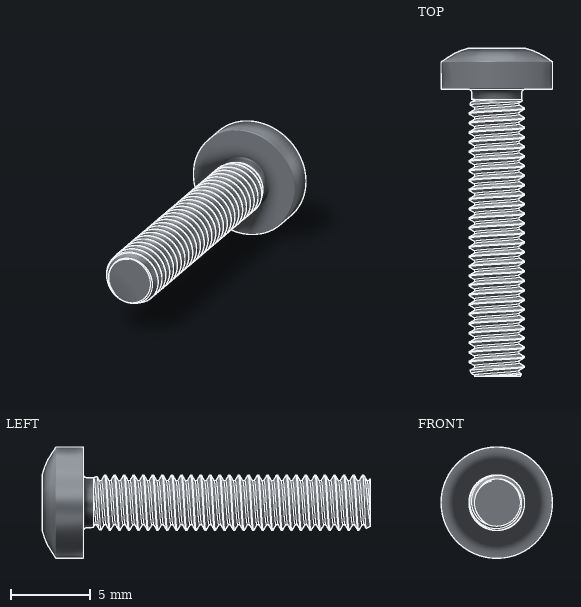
import cadquery as cq
import math

total_length = 20.6
head_diameter = 7.0
head_height = 2.6

crown_flat_diameter = 3.55
crown_height = 0.87
crown_radius = 4.53
rim_fillet = 0.06

neck_diameter = 3.15
neck_length = 0.62
neck_fillet = 0.2

pitch = 0.5999
crest_diameter = 3.5
root_diameter = 2.8
crest_width = 0.06
flank_angle = 30.0
first_crest = 0.9
root_overlap = 0.05

envelope_clearance = 0.05
runout_length = 0.65
tip_chamfer_length = 0.54
tip_diameter = 2.97

head_radius = head_diameter / 2
neck_radius = neck_diameter / 2
crest_radius = crest_diameter / 2
root_radius = root_diameter / 2
shank_length = total_length - head_height
neck_end = -neck_length
tip_end = -shank_length


def turned(outline):
    """Close an outline drawn as (radius, Y) from the axis and turn it about Y."""
    return outline.close().revolve(360, (0, 0, 0), (0, 1, 0))


def make_head():
    """Cylinder with a domed, flat-topped crown and two softened rim edges."""
    outline = (
        cq.Workplane("XY")
        .lineTo(head_radius, 0)
        .lineTo(head_radius, head_height - crown_height)
        .radiusArc((crown_flat_diameter / 2, head_height), -crown_radius)
        .lineTo(0, head_height)
    )
    return turned(outline).faces("%CYLINDER").edges("%CIRCLE").fillet(rim_fillet)


def make_neck():
    """Plain neck with a fillet against the underside of the head."""
    outline = (
        cq.Workplane("XY")
        .lineTo(neck_radius + neck_fillet, 0)
        .radiusArc((neck_radius, -neck_fillet), -neck_fillet)
        .lineTo(neck_radius, neck_end)
        .lineTo(0, neck_end)
    )
    return turned(outline)


def make_core():
    """Cylinder at the thread root, from the head to the tip."""
    return cq.Workplane("XZ").circle(root_radius).extrude(shank_length)


def make_thread_envelope():
    """Space the thread may fill, with a run-out cone at the neck and a tip chamfer."""
    envelope_radius = crest_radius + envelope_clearance
    outline = (
        cq.Workplane("XY")
        .moveTo(0, neck_end)
        .lineTo(neck_radius, neck_end)
        .lineTo(envelope_radius, neck_end - runout_length)
        .lineTo(envelope_radius, tip_end + tip_chamfer_length)
        .lineTo(tip_diameter / 2, tip_end)
        .lineTo(0, tip_end)
    )
    return turned(outline)


def make_thread():
    """Helical ridge, longer than the shank at both ends and trimmed by the envelope."""
    base_radius = root_radius - root_overlap
    crest_half = crest_width / 2
    flank_run = (crest_radius - base_radius) * math.tan(math.radians(flank_angle))
    base_half = crest_half + flank_run

    turns = math.ceil(shank_length / pitch) + 1
    helix = cq.Wire.makeHelix(pitch, turns * pitch, base_radius)
    ridge = (
        cq.Workplane("XZ")
        .moveTo(base_radius, -base_half)
        .lineTo(crest_radius, -crest_half)
        .lineTo(crest_radius, crest_half)
        .lineTo(base_radius, base_half)
        .close()
        .sweep(cq.Workplane(helix), isFrenet=True)
        .rotate((0, 0, 0), (1, 0, 0), -90)
    )

    turns_to_first_crest = turns - 1.5
    ridge_start = -first_crest - turns_to_first_crest * pitch
    return ridge.translate((0, ridge_start, 0)).intersect(make_thread_envelope())


result = make_head().union(make_neck()).union(make_core()).union(make_thread())